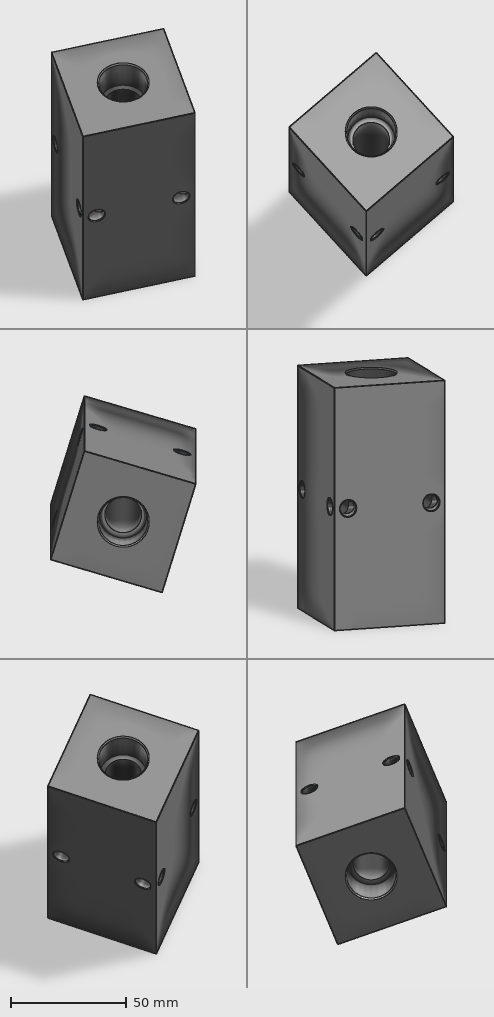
import cadquery as cq

SIDE = 50.8
HEIGHT = 107.95
EDGE_CHAMFER = 0.254

BORE_DIAMETER = 15.875
PORT_DEPTH = 13.55
PORT_MOUTH_DIAMETER = 22.6
PORT_CHAMFER = 0.635
PORT_TAPER = 1 / 16

CROSS_HOLE_DIAMETER = 7.144
CROSS_HOLE_SPACING = 38.1
CROSS_HOLE_CHAMFER = 0.381


def make_block():
    return cq.Workplane("XY").box(SIDE, SIDE, HEIGHT).edges().chamfer(EDGE_CHAMFER)


def make_bore():
    return cq.Workplane("XY").circle(BORE_DIAMETER / 2).extrude(HEIGHT / 2, both=True)


def make_top_port():
    """Cutter for the port in the top face: a short chamfer, then a taper to a flat floor."""
    top = HEIGHT / 2
    floor = top - PORT_DEPTH
    taper_length = PORT_DEPTH - PORT_CHAMFER
    mouth_radius = PORT_MOUTH_DIAMETER / 2
    taper_start_radius = mouth_radius - PORT_CHAMFER
    floor_radius = taper_start_radius - taper_length * PORT_TAPER / 2
    profile = (
        cq.Workplane("XZ")
        .moveTo(0, floor)
        .lineTo(floor_radius, floor)
        .lineTo(taper_start_radius, top - PORT_CHAMFER)
        .lineTo(mouth_radius, top)
        .lineTo(0, top)
        .close()
    )
    return profile.revolve(360, (0, 0, 0), (0, 1, 0))


def make_cross_hole(offset):
    """Cutter for a through hole along Y at X = offset, chamfered at both mouths."""
    half_length = SIDE / 2
    chamfer_end = half_length - CROSS_HOLE_CHAMFER
    hole_edge = offset + CROSS_HOLE_DIAMETER / 2
    mouth_edge = hole_edge + CROSS_HOLE_CHAMFER
    profile = (
        cq.Workplane("XY")
        .moveTo(offset, -half_length)
        .lineTo(mouth_edge, -half_length)
        .lineTo(hole_edge, -chamfer_end)
        .lineTo(hole_edge, chamfer_end)
        .lineTo(mouth_edge, half_length)
        .lineTo(offset, half_length)
        .close()
    )
    return profile.revolve(360, (offset, 0, 0), (offset, 1, 0))


top_port = make_top_port()
bottom_port = top_port.mirror("XY")
result = make_block().cut(make_bore()).cut(top_port).cut(bottom_port)

for offset in (-CROSS_HOLE_SPACING / 2, CROSS_HOLE_SPACING / 2):
    hole_along_y = make_cross_hole(offset)
    hole_along_x = hole_along_y.rotate((0, 0, 0), (0, 0, 1), 90)
    result = result.cut(hole_along_y).cut(hole_along_x)